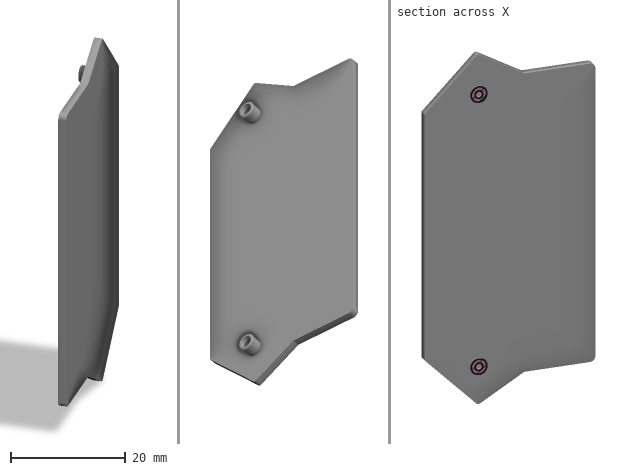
import cadquery as cq
import math

plate_thickness = 1.5
plate_width = 32.0
back_edge_y = plate_width / 2
front_edge_y = -plate_width / 2

ear_tip_z = 33.5
ear_tip_offset = 10.0
ear_tip_y = back_edge_y - ear_tip_offset
ear_tip_radius = 0.5
back_slope_angle = 45.0
front_slope_angle = 30.0

shoulder_z = 28.5
front_corner_radius = 1.0

back_corner_z = ear_tip_z - ear_tip_offset * math.tan(math.radians(back_slope_angle))
shoulder_start_y = ear_tip_y - (ear_tip_z - shoulder_z) / math.tan(math.radians(front_slope_angle))

pin_length = 2.5
pin_radius = 1.5
pin_z = 26.0

lip_radius = 1.6
lip_end_radius = 1.4
lip_bevel_length = 0.2
lip_length = 0.35

bore_mouth_radius = 1.1
bore_floor_radius = 0.55


def make_plate():
    """Plate with its rounded ear tips and rounded front corners."""
    upper_outline = [
        (back_edge_y, back_corner_z),
        (ear_tip_y, ear_tip_z),
        (shoulder_start_y, shoulder_z),
        (front_edge_y, shoulder_z),
    ]
    lower_outline = [(y, -z) for y, z in reversed(upper_outline)]
    plate = cq.Workplane("YZ").polyline(upper_outline + lower_outline).close().extrude(plate_thickness)

    def edges_at(y, z):
        mid_x = plate_thickness / 2
        upper_edge = cq.selectors.NearestToPointSelector((mid_x, y, z))
        lower_edge = cq.selectors.NearestToPointSelector((mid_x, y, -z))
        return upper_edge + lower_edge

    plate = plate.edges(edges_at(ear_tip_y, ear_tip_z)).fillet(ear_tip_radius)
    return plate.edges(edges_at(front_edge_y, shoulder_z)).fillet(front_corner_radius)


def make_pin(z):
    """Hollow lipped pin, turned about its axis along X."""
    end_x = -pin_length
    profile = [
        (0, pin_radius),
        (end_x + lip_length, pin_radius),
        (end_x + lip_bevel_length, lip_radius),
        (end_x, lip_end_radius),
        (end_x, bore_mouth_radius),
        (0, bore_floor_radius),
    ]
    pin = cq.Workplane("XY").polyline(profile).close().revolve(360, (0, 0), (1, 0))
    return pin.translate((0, ear_tip_y, z))


result = make_plate()
for pin_position in (pin_z, -pin_z):
    result = result.union(make_pin(pin_position))